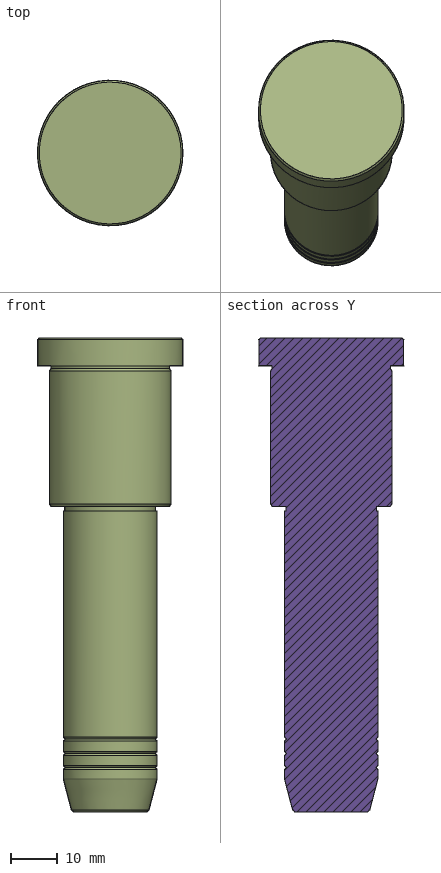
import cadquery as cq

total_length = 101.0
head_thickness = 6.0
body_bottom = 65.0
tip_height = 7.1

head_diameter = 31.0
body_diameter = 26.0
shank_diameter = 20.0
tip_end_diameter = 16.6

head_chamfer = 0.4
body_chamfer_height = 0.6
body_chamfer_depth = 0.4
relief_depth = 0.3
shank_relief_height = 0.9
relief_floor_height = 0.6
relief_taper_height = 0.5
tip_chamfer = 0.5

groove_count = 3
groove_pitch = 3.0
groove_width = 0.8
groove_depth = 0.4
first_groove_bottom = 9.1

head_radius = head_diameter / 2
body_radius = body_diameter / 2
shank_radius = shank_diameter / 2
tip_end_radius = tip_end_diameter / 2
head_bottom = total_length - head_thickness


def stepped_pin():
    """Revolve the half profile of head, body, shank and tapered tip."""
    return (
        cq.Workplane("XZ")
        .moveTo(0, 0)
        .lineTo(tip_end_radius - tip_chamfer, 0)
        .lineTo(tip_end_radius, tip_chamfer)
        .lineTo(shank_radius, tip_height)
        .lineTo(shank_radius, body_bottom - shank_relief_height)
        .lineTo(shank_radius - relief_depth, body_bottom - shank_relief_height)
        .lineTo(shank_radius - relief_depth, body_bottom)
        .lineTo(body_radius - body_chamfer_depth, body_bottom)
        .lineTo(body_radius, body_bottom + body_chamfer_height)
        .lineTo(body_radius, head_bottom - relief_floor_height - relief_taper_height)
        .lineTo(body_radius - relief_depth, head_bottom - relief_floor_height)
        .lineTo(body_radius - relief_depth, head_bottom)
        .lineTo(head_radius, head_bottom)
        .lineTo(head_radius, total_length - head_chamfer)
        .lineTo(head_radius - head_chamfer, total_length)
        .lineTo(0, total_length)
        .close()
        .revolve(360, (0, 0, 0), (0, 1, 0))
    )


def groove_ring(bottom):
    """V-section ring of material removed by one groove."""
    return (
        cq.Workplane("XZ")
        .moveTo(shank_radius, bottom)
        .lineTo(shank_radius - groove_depth, bottom + groove_width / 2)
        .lineTo(shank_radius, bottom + groove_width)
        .lineTo(head_radius, bottom + groove_width)
        .lineTo(head_radius, bottom)
        .close()
        .revolve(360, (0, 0, 0), (0, 1, 0))
    )


result = stepped_pin()
for index in range(groove_count):
    result = result.cut(groove_ring(first_groove_bottom + index * groove_pitch))